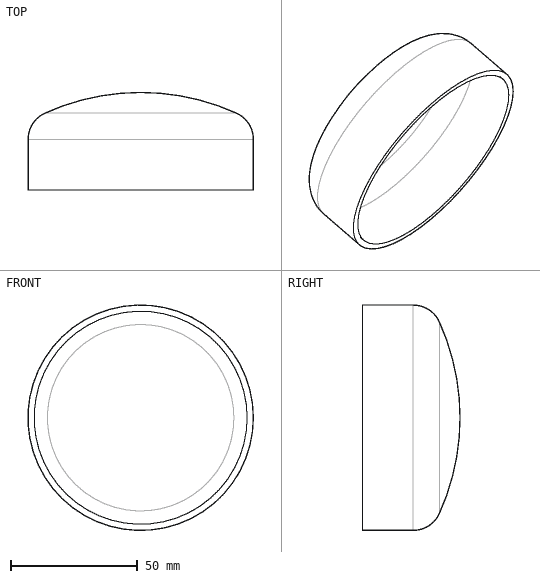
import cadquery as cq
import math

outer_diameter = 88.9
wall = 2.5
skirt_length = 20.0

outer_radius = outer_diameter / 2
inner_crown_radius = outer_diameter
inner_knuckle_radius = outer_diameter / 10

knuckle_centre_x = outer_radius - wall - inner_knuckle_radius
centre_distance = inner_crown_radius - inner_knuckle_radius
crown_centre_y = skirt_length - math.sqrt(centre_distance**2 - knuckle_centre_x**2)
tangent_angle = math.acos(knuckle_centre_x / centre_distance)


def crown_point(radius, angle):
    """Point on a crown arc at an angle measured from the X axis."""
    return (radius * math.cos(angle), crown_centre_y + radius * math.sin(angle))


def knuckle_point(radius, angle):
    """Point on a knuckle arc at an angle measured from the X axis."""
    return (knuckle_centre_x + radius * math.cos(angle), skirt_length + radius * math.sin(angle))


def dished_solid(offset):
    """Solid bounded by the inner surface of the cap moved outwards by offset."""
    crown_radius = inner_crown_radius + offset
    knuckle_radius = inner_knuckle_radius + offset
    skirt_radius = knuckle_centre_x + knuckle_radius
    crown_middle_angle = (tangent_angle + math.pi / 2) / 2
    profile = (
        cq.Workplane("XY")
        .lineTo(skirt_radius, 0)
        .lineTo(skirt_radius, skirt_length)
        .threePointArc(
            knuckle_point(knuckle_radius, tangent_angle / 2),
            knuckle_point(knuckle_radius, tangent_angle),
        )
        .threePointArc(
            crown_point(crown_radius, crown_middle_angle),
            (0, crown_centre_y + crown_radius),
        )
        .close()
    )
    return profile.revolve(360, (0, 0, 0), (0, 1, 0))


result = dished_solid(wall).cut(dished_solid(0))